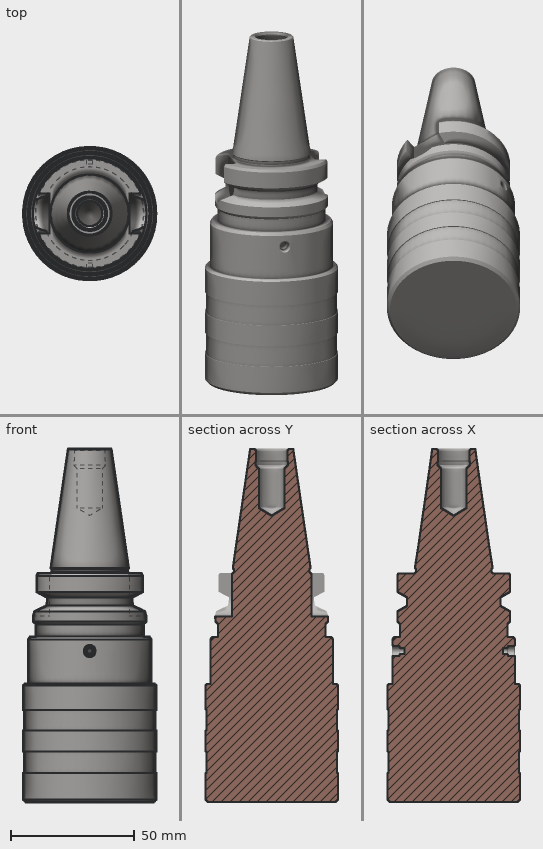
import cadquery as cq
import math

TOTAL_HEIGHT = 143.4

GAUGE_RADIUS = 31.75 / 2
GAUGE_Z = 95.0
TAPER_RATIO = 7 / 24
SHANK_TOP_CHAMFER = 0.3
SHANK_TOP_RADIUS = GAUGE_RADIUS - TAPER_RATIO / 2 * (TOTAL_HEIGHT - SHANK_TOP_CHAMFER - GAUGE_Z)
RELIEF_DEPTH = 0.4

FLANGE_RADIUS = 46.0 / 2
FLANGE_TOP_Z = GAUGE_Z - 2.0
FLANGE_BOTTOM_Z = 72.2
FLANGE_TOP_CHAMFER_HEIGHT = 1.1
FLANGE_TOP_CHAMFER_WIDTH = 0.6
FLANGE_BOTTOM_CHAMFER = 1.2
GROOVE_CENTER_Z = GAUGE_Z - 13.6
GROOVE_FLOOR_RADIUS = 19.0
GROOVE_FLOOR_HEIGHT = 3.3
GROOVE_SIDE_ANGLE = 30.0
GROOVE_SIDE_RISE = (FLANGE_RADIUS - GROOVE_FLOOR_RADIUS) * math.tan(math.radians(GROOVE_SIDE_ANGLE))

SLOT_WIDTH = 16.1
SLOT_FLAT_X = 16.2
SLOT_BOTTOM_Z = 75.5

NECK_RADIUS = 22.0
BODY_RADIUS = 25.0
BODY_TOP_Z = 67.2
BODY_CHAMFER_WIDTH = 0.8
BODY_CHAMFER_HEIGHT = 1.2
SLEEVE_RADIUS = 54.0 / 2
SLEEVE_TOP_Z = 48.2
SLEEVE_CHAMFER = 0.8
SLEEVE_BOTTOM_CHAMFER = 1.2
BAND_DEPTH = 0.4
BANDS = ((29.2, 37.5), (12.0, 20.6))

STUD_BORE_RADIUS = 12.5 / 2
STUD_CHAMFER = 0.75
STUD_BORE_DEPTH = 4.7
UNDERCUT_RADIUS = 6.45
UNDERCUT_FLARE_HEIGHT = 0.7
STEP_DEPTH = 6.7
STEP_HEIGHT = 1.4
THREAD_RADIUS = 10.2 / 2
THREAD_DEPTH = 24.0
DRILL_TIP_ANGLE = 118.0

SCREW_HOLE_Z = 61.4
SCREW_HOLE_RADIUS = 2.0
SCREW_HOLE_DEPTH = 3.0
SCREW_HOLE_MOUTH_RADIUS = 2.4
SOCKET_RADIUS = 1.2
SOCKET_MOUTH_RADIUS = 1.6
SOCKET_DEPTH = 2.0


def revolve_profile(points):
    """Turn (radius, Z) points about the Z axis."""
    profile = cq.Workplane("XZ").polyline(points).close()
    return profile.revolve(360, (0, 0, 0), (0, 1, 0))


def make_holder():
    groove_floor_top = GROOVE_CENTER_Z + GROOVE_FLOOR_HEIGHT / 2
    groove_floor_bottom = GROOVE_CENTER_Z - GROOVE_FLOOR_HEIGHT / 2
    taper_top_z = TOTAL_HEIGHT - SHANK_TOP_CHAMFER
    return revolve_profile([
        (0, 0),
        (SLEEVE_RADIUS - SLEEVE_BOTTOM_CHAMFER, 0),
        (SLEEVE_RADIUS, SLEEVE_BOTTOM_CHAMFER),
        (SLEEVE_RADIUS, SLEEVE_TOP_Z - SLEEVE_CHAMFER),
        (SLEEVE_RADIUS - SLEEVE_CHAMFER, SLEEVE_TOP_Z),
        (BODY_RADIUS, SLEEVE_TOP_Z),
        (BODY_RADIUS, BODY_TOP_Z - BODY_CHAMFER_HEIGHT),
        (BODY_RADIUS - BODY_CHAMFER_WIDTH, BODY_TOP_Z),
        (NECK_RADIUS, BODY_TOP_Z),
        (NECK_RADIUS, FLANGE_BOTTOM_Z),
        (FLANGE_RADIUS - FLANGE_BOTTOM_CHAMFER, FLANGE_BOTTOM_Z),
        (FLANGE_RADIUS, FLANGE_BOTTOM_Z + FLANGE_BOTTOM_CHAMFER),
        (FLANGE_RADIUS, groove_floor_bottom - GROOVE_SIDE_RISE),
        (GROOVE_FLOOR_RADIUS, groove_floor_bottom),
        (GROOVE_FLOOR_RADIUS, groove_floor_top),
        (FLANGE_RADIUS, groove_floor_top + GROOVE_SIDE_RISE),
        (FLANGE_RADIUS, FLANGE_TOP_Z - FLANGE_TOP_CHAMFER_HEIGHT),
        (FLANGE_RADIUS - FLANGE_TOP_CHAMFER_WIDTH, FLANGE_TOP_Z),
        (GAUGE_RADIUS, FLANGE_TOP_Z),
        (GAUGE_RADIUS - RELIEF_DEPTH, FLANGE_TOP_Z + RELIEF_DEPTH),
        (GAUGE_RADIUS - RELIEF_DEPTH, GAUGE_Z - RELIEF_DEPTH),
        (GAUGE_RADIUS, GAUGE_Z),
        (SHANK_TOP_RADIUS, taper_top_z),
        (SHANK_TOP_RADIUS - SHANK_TOP_CHAMFER, TOTAL_HEIGHT),
        (0, TOTAL_HEIGHT),
    ])


def make_band(bottom, top):
    """Ring that cuts one shallow band into the sleeve."""
    ring = cq.Workplane("XY", origin=(0, 0, bottom))
    return ring.circle(SLEEVE_RADIUS + BAND_DEPTH).circle(SLEEVE_RADIUS - BAND_DEPTH).extrude(top - bottom)


def make_drive_slot(side):
    """Round-bottomed slot, open at the top, on the +X (1) or -X (-1) side."""
    half_width = SLOT_WIDTH / 2
    arc_center_z = SLOT_BOTTOM_Z + half_width
    outline = (
        cq.Workplane("YZ", origin=(side * SLOT_FLAT_X, 0, 0))
        .moveTo(-half_width, FLANGE_TOP_Z)
        .lineTo(-half_width, arc_center_z)
        .threePointArc((0, SLOT_BOTTOM_Z), (half_width, arc_center_z))
        .lineTo(half_width, FLANGE_TOP_Z)
        .close()
    )
    return outline.extrude(side * FLANGE_RADIUS)


def make_stud_hole():
    bore_end_z = TOTAL_HEIGHT - STUD_BORE_DEPTH
    step_z = TOTAL_HEIGHT - STEP_DEPTH
    thread_bottom_z = TOTAL_HEIGHT - THREAD_DEPTH
    tip_height = THREAD_RADIUS / math.tan(math.radians(DRILL_TIP_ANGLE / 2))
    return revolve_profile([
        (0, TOTAL_HEIGHT),
        (STUD_BORE_RADIUS + STUD_CHAMFER, TOTAL_HEIGHT),
        (STUD_BORE_RADIUS, TOTAL_HEIGHT - STUD_CHAMFER),
        (STUD_BORE_RADIUS, bore_end_z),
        (UNDERCUT_RADIUS, bore_end_z - UNDERCUT_FLARE_HEIGHT),
        (UNDERCUT_RADIUS, step_z),
        (THREAD_RADIUS, step_z - STEP_HEIGHT),
        (THREAD_RADIUS, thread_bottom_z),
        (0, thread_bottom_z - tip_height),
    ])


def make_screw_hole(side):
    """Blind countersunk hole with a chamfered socket in its floor, on the +Y (1) or -Y (-1) side."""
    floor_y = BODY_RADIUS - SCREW_HOLE_DEPTH
    rim_y = BODY_RADIUS - (SCREW_HOLE_MOUTH_RADIUS - SCREW_HOLE_RADIUS)
    socket_rim_y = floor_y - (SOCKET_MOUTH_RADIUS - SOCKET_RADIUS)
    profile = cq.Workplane("XY").polyline([
        (0, BODY_RADIUS),
        (SCREW_HOLE_MOUTH_RADIUS, BODY_RADIUS),
        (SCREW_HOLE_RADIUS, rim_y),
        (SCREW_HOLE_RADIUS, floor_y),
        (SOCKET_MOUTH_RADIUS, floor_y),
        (SOCKET_RADIUS, socket_rim_y),
        (SOCKET_RADIUS, floor_y - SOCKET_DEPTH),
        (0, floor_y - SOCKET_DEPTH),
    ]).close()
    hole = profile.revolve(360, (0, 0, 0), (0, 1, 0))
    if side < 0:
        hole = hole.mirror("XZ")
    return hole.translate((0, 0, SCREW_HOLE_Z))


result = make_holder().cut(make_stud_hole())
for band_bottom, band_top in BANDS:
    result = result.cut(make_band(band_bottom, band_top))
for direction in (1, -1):
    result = result.cut(make_drive_slot(direction))
    result = result.cut(make_screw_hole(direction))